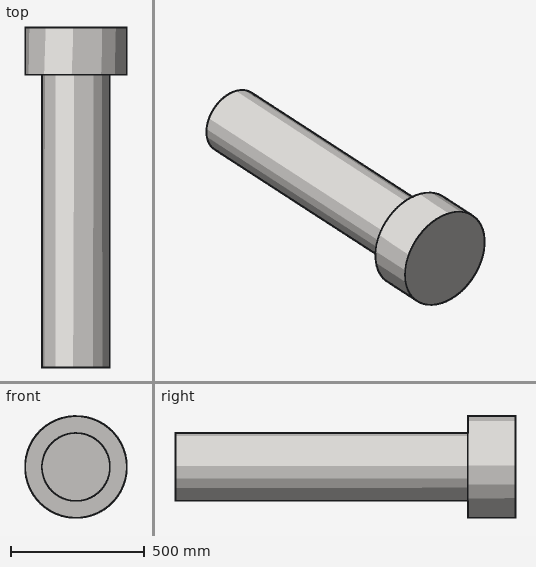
import cadquery as cq

total_length = 1270.0
head_diameter = 381.0
head_length = 178.0
shank_diameter = 254.0
shank_length = total_length - head_length


def cylinder_along_y(diameter, start_y, length):
    """Solid cylinder centred on the Y axis, running from start_y towards +Y."""
    base_plane = cq.Plane(origin=(0, start_y, 0), xDir=(1, 0, 0), normal=(0, 1, 0))
    return cq.Workplane(base_plane).circle(diameter / 2).extrude(length)


shank_start = -total_length / 2
head_start = shank_start + shank_length

shank = cylinder_along_y(shank_diameter, shank_start, shank_length)
head = cylinder_along_y(head_diameter, head_start, head_length)

result = shank.union(head)